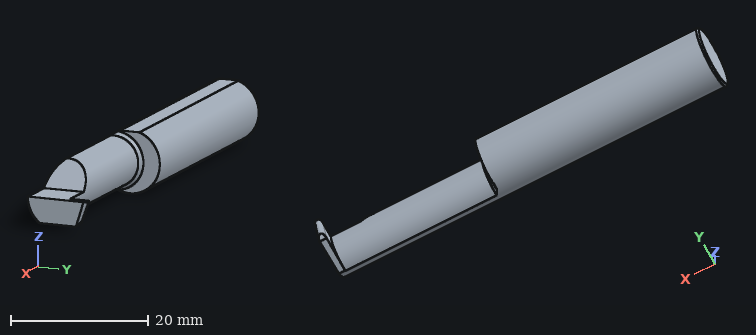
import cadquery as cq
import math

length = 63.5
shank_radius = 4.75
shank_length = 36.75
flat_height = 4.5
shank_chamfer = 0.3

neck_radius = 3.8
neck_side = 1.6
neck_center = neck_side - neck_radius
root_chamfer = 0.6

rake_start = 57.4
ramp_top = shank_radius
end_angle = 1.2

finger_width = 1.2
finger_radius = finger_width / 2
finger_clearance = 20.0


def cylinder(radius, center_y, start, end):
    """Cylinder along X between two X positions."""
    return cq.Workplane("YZ", origin=(start, center_y, 0)).circle(radius).extrude(end - start)


def make_shank():
    shank = cylinder(shank_radius, 0, 0, shank_length)
    shank = shank.faces("<X").chamfer(shank_chamfer)
    below_flat = cq.Workplane("XY").box(
        shank_length, 2 * shank_radius, shank_radius + flat_height, centered=(False, True, False)
    ).translate((0, 0, -shank_radius))
    return shank.intersect(below_flat)


def make_neck():
    neck = cylinder(neck_radius, neck_center, shank_length, length)
    root = (
        cq.Workplane("YZ", origin=(shank_length, neck_center, 0))
        .circle(neck_radius + root_chamfer)
        .workplane(offset=root_chamfer)
        .circle(neck_radius)
        .loft(ruled=True)
    )
    return neck.union(root).intersect(cylinder(shank_radius, 0, shank_length, length))


def cut_rake(body):
    """Remove the material above the ramp and the flat top of the head."""
    waste = (
        cq.Workplane("XZ")
        .moveTo(rake_start, 0)
        .lineTo(length, 0)
        .lineTo(length, ramp_top)
        .lineTo(rake_start - ramp_top, ramp_top)
        .close()
        .extrude(shank_radius, both=True)
    )
    return body.cut(waste)


def make_finger():
    """Round-nosed finger whose nose leans back below the cutting edge."""
    nose_center = shank_radius - finger_radius
    inner_side = length - finger_width
    clearance_shift = neck_radius * math.tan(math.radians(finger_clearance))
    drop = cq.Workplane("YZ").lineTo(-clearance_shift, -neck_radius)
    finger = (
        cq.Workplane("XY")
        .moveTo(inner_side, neck_center)
        .lineTo(inner_side, nose_center)
        .threePointArc((length - finger_radius, shank_radius), (length, nose_center))
        .lineTo(length, neck_center)
        .close()
        .sweep(drop)
    )
    return finger.intersect(cylinder(shank_radius, 0, shank_length, length))


def relieve_end(body):
    """Tilt the end face back slightly from the nose towards -Y."""
    nose_center = shank_radius - finger_radius
    depth = (nose_center + shank_radius) * math.tan(math.radians(end_angle))
    waste = (
        cq.Workplane("XY")
        .moveTo(length, nose_center)
        .lineTo(length, -shank_radius)
        .lineTo(length - depth, -shank_radius)
        .close()
        .extrude(shank_radius, both=True)
    )
    return body.cut(waste)


head = relieve_end(cut_rake(make_neck()).union(make_finger()))
result = make_shank().union(head)